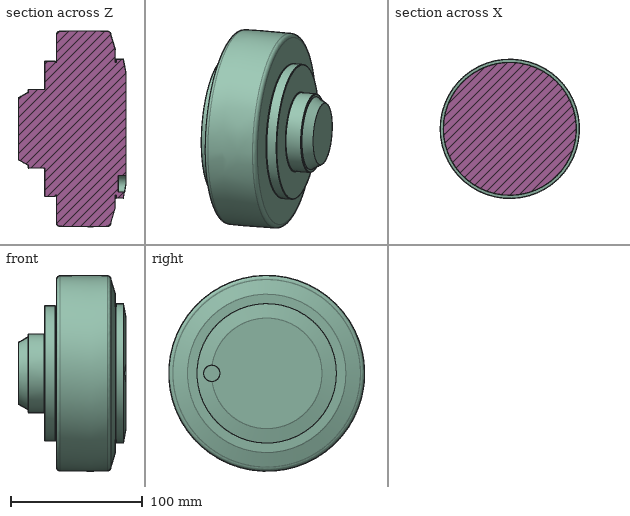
import cadquery as cq

stub_shoulder_x = 7.9
flange_x = 20.0
flange_end_x = 28.3
tyre_x = 28.9
tyre_end_x = 70.5
tyre_back_x = 73.8
cap_x = 74.4
cap_bevel_x = 79.9
overall_length = 82.0

stub_tip_radius = 23.5
stub_taper_radius = 27.9
stub_radius = 60.0 / 2
flange_radius = 103.0 / 2
neck_radius = 101.2 / 2
tyre_radius = 74.5
crown_drop = 0.3
tyre_back_radius = 60.2
cap_radius = 106.0 / 2
cap_face_radius = 42.0

edge_break = 0.5
tyre_fillet = 3.0

grease_hole_diameter = 12.4
grease_hole_depth = 6.0
grease_hole_offset = 41.7


def revolve_about_x(profile):
    return profile.close().revolve(360, (0, 0, 0), (1, 0, 0))


def make_stub_and_flange():
    """Tapered stub, shoulder with a broken edge, and the flange behind it."""
    profile = (
        cq.Workplane("XY")
        .lineTo(0, stub_tip_radius)
        .lineTo(stub_shoulder_x - edge_break, stub_taper_radius)
        .lineTo(stub_shoulder_x - edge_break, stub_radius - edge_break)
        .lineTo(stub_shoulder_x, stub_radius)
        .lineTo(flange_x - edge_break, stub_radius)
        .lineTo(flange_x, stub_radius + edge_break)
        .lineTo(flange_x, flange_radius - edge_break)
        .lineTo(flange_x + edge_break, flange_radius)
        .lineTo(flange_end_x - edge_break, flange_radius)
        .lineTo(flange_end_x, flange_radius - edge_break)
        .lineTo(flange_end_x, neck_radius)
        .lineTo(tyre_x, neck_radius)
        .lineTo(tyre_x, 0)
    )
    return revolve_about_x(profile)


def make_tyre():
    """Slightly crowned tyre with rounded rims."""
    shoulder_radius = tyre_radius - crown_drop
    middle_x = (tyre_x + tyre_end_x) / 2
    profile = (
        cq.Workplane("XY")
        .moveTo(tyre_x, 0)
        .lineTo(tyre_x, shoulder_radius)
        .threePointArc((middle_x, tyre_radius), (tyre_end_x, shoulder_radius))
        .lineTo(tyre_end_x, 0)
    )
    return revolve_about_x(profile).edges("%CIRCLE").fillet(tyre_fillet)


def make_back_and_cap():
    """Conical back of the tyre, a narrow neck and the bevelled end cap."""
    profile = (
        cq.Workplane("XY")
        .moveTo(tyre_end_x, 0)
        .lineTo(tyre_end_x, tyre_radius - crown_drop - tyre_fillet)
        .lineTo(tyre_back_x, tyre_back_radius)
        .lineTo(tyre_back_x, neck_radius)
        .lineTo(cap_x, neck_radius)
        .lineTo(cap_x, cap_radius)
        .lineTo(cap_bevel_x, cap_radius)
        .lineTo(overall_length, cap_face_radius)
        .lineTo(overall_length, 0)
    )
    return revolve_about_x(profile)


def make_grease_hole():
    return (
        cq.Workplane("YZ", origin=(overall_length - grease_hole_depth, 0, 0))
        .center(-grease_hole_offset, 0)
        .circle(grease_hole_diameter / 2)
        .extrude(grease_hole_depth)
    )


roller = make_stub_and_flange().union(make_tyre()).union(make_back_and_cap())
drilled_roller = roller.cut(make_grease_hole())
result = drilled_roller.translate((-overall_length / 2, 0, 0))